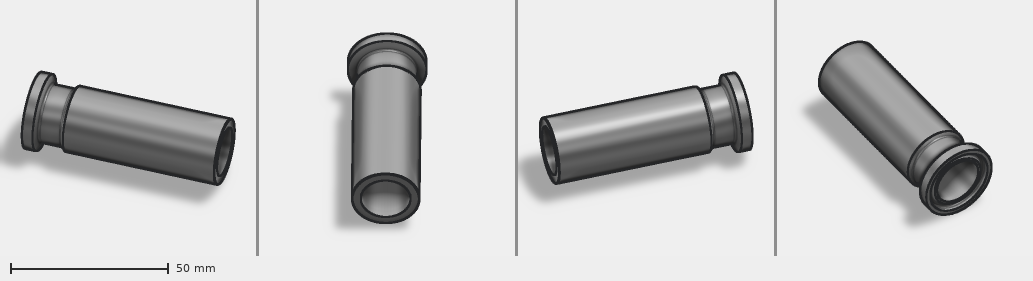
import cadquery as cq
import math

length = 63.5
bore_radius = 15.75 / 2
flange_radius = 25.0 / 2
neck_radius = 19.05 / 2
body_radius = 21.45 / 2

flange_rim_width = 3.55
body_start = 13.1

flange_back_angle = math.radians(20)
shoulder_angle = math.radians(45)
neck_fillet = 0.8
end_chamfer = 0.2

groove_outer_radius = 21.9 / 2
groove_cone_radius = 19.05 / 2
lip_radius = 17.5 / 2
groove_cone_angle = math.radians(55)
groove_wall_depth = 1.35


def make_blank():
    """Solid with the flange, the filleted neck and the chamfered body."""
    flange_back_run = (flange_radius - neck_radius) * math.tan(flange_back_angle)
    neck_start = flange_rim_width + flange_back_run
    neck_end = body_start - (body_radius - neck_radius) / math.tan(shoulder_angle)
    blank = (
        cq.Workplane("XY")
        .moveTo(0, 0)
        .lineTo(0, flange_radius)
        .lineTo(flange_rim_width, flange_radius)
        .lineTo(neck_start, neck_radius)
        .lineTo(neck_end, neck_radius)
        .lineTo(body_start, body_radius)
        .lineTo(length, body_radius)
        .lineTo(length, 0)
        .close()
        .revolve(360, (0, 0, 0), (1, 0, 0))
    )
    neck_box = cq.selectors.BoxSelector(
        (flange_rim_width + flange_back_run / 2, -flange_radius, -flange_radius),
        ((neck_end + body_start) / 2, flange_radius, flange_radius),
    )
    blank = blank.edges("%CIRCLE").edges(neck_box).fillet(neck_fillet)
    return blank.faces(">X").edges().chamfer(end_chamfer)


def make_face_recess():
    """Space cut into the flange face: round-bottomed groove, cone and the set-back lip."""
    arc_radius = (groove_outer_radius - groove_cone_radius) / (1 + math.sin(groove_cone_angle))
    arc_centre_radius = groove_outer_radius - arc_radius
    cone_bottom = groove_wall_depth + arc_radius * math.cos(groove_cone_angle)
    lip_depth = cone_bottom - (groove_cone_radius - lip_radius) * math.tan(groove_cone_angle)
    return (
        cq.Workplane("XY")
        .lineTo(0, groove_outer_radius)
        .lineTo(groove_wall_depth, groove_outer_radius)
        .threePointArc(
            (groove_wall_depth + arc_radius, arc_centre_radius),
            (cone_bottom, groove_cone_radius),
        )
        .lineTo(lip_depth, lip_radius)
        .lineTo(lip_depth, 0)
        .close()
        .revolve(360, (0, 0, 0), (1, 0, 0))
    )


bore = cq.Workplane("YZ").circle(bore_radius).extrude(length)

result = make_blank().cut(make_face_recess()).cut(bore)